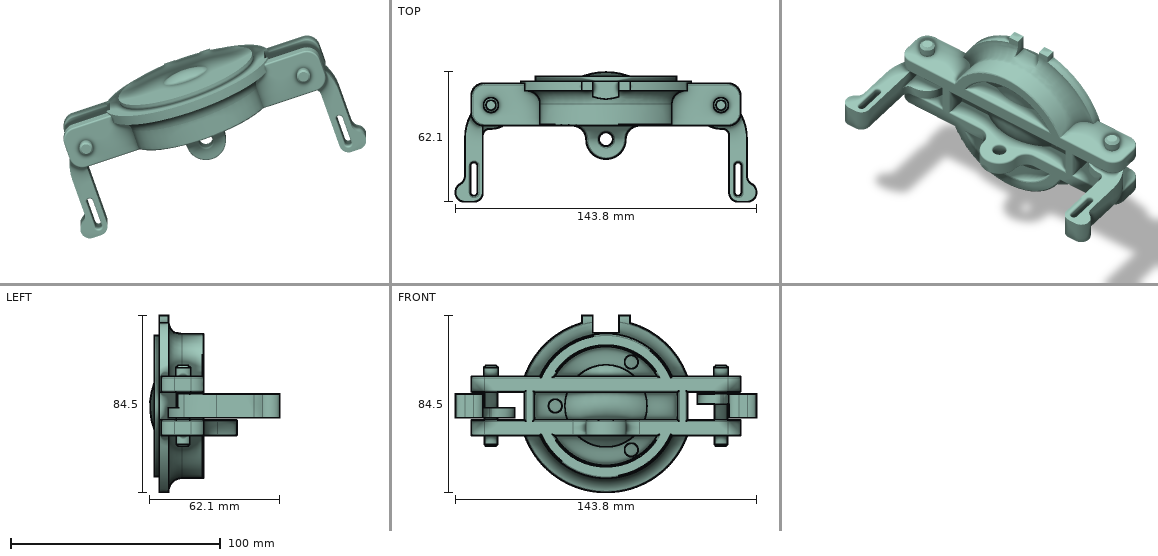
import cadquery as cq
import math


edge_radius = 0.76
pin_x = 54.86
pin_y = -11.43
pin_radius = 3.175
pin_head_radius = 3.555
running_hole_radius = 3.25

flange_radius = 41.275
flange_thickness = 4.57
barrel_radius = 34.545
housing_depth = 21.34
neck_radius = 6.1
bore_radius = 28.3
floor_y = -11.7
dome_edge_radius = 19.6
dome_height = 6.7

bar_half_length = 64.37
bar_inner_z = 6.6
bar_outer_z = 14.22
bar_thickness = bar_outer_z - bar_inner_z
bar_back_y = -0.89
bar_corner_radius = 6.35
wall_inner_x = 34.2
wall_outer_x = 38.9
lug_radius = 9.525
lug_blend_radius = 6.35

notch_half_width = 6.2
notch_floor_z = 34.925
tab_outer_x = 11.5
tab_top_z = 43.18

plate_radius = 33.72
plate_thickness = 2.4
plate_dome_edge_radius = 11.0
plate_dome_height = 2.06
peg_radius = 3.165
peg_circle_radius = 24.2
peg_angles = (60, 180, 300)

pin_top_z = 19.4
pin_bottom_z = -19.15
pin_tip_radius = 2.38

arm_outer_x = 67.31
arm_width = 8.64
arm_inner_x = arm_outer_x - arm_width
arm_half_height = 5.715
ear_thickness = 4.9
arm_end_y = -57.62
arm_end_radius = 4.57
shoulder_radius = 24.13
shoulder_start_y = -27.3
shoulder_angle = math.radians(40.2)
cam_radius = 11.43
cam_back_y = -4.3
armpit_radius = 2.9
slot_radius = 1.585
slot_length = 12.7


def cylinder_y(radius, front_y, back_y):
    """Cylinder on the disc axis."""
    return cq.Workplane("XZ", origin=(0, back_y, 0)).circle(radius).extrude(back_y - front_y)


def box(x_range, y_range, z_range):
    """Box from its limits along each axis."""
    size = [high - low for low, high in (x_range, y_range, z_range)]
    corner = (x_range[0], y_range[0], z_range[0])
    return cq.Workplane("XY", origin=corner).box(*size, centered=False)


def spherical_cap(edge, height, base_y, direction):
    """Cap on the disc axis, rising from base_y along +Y (direction 1) or -Y (direction -1)."""
    sphere_radius = (edge**2 + height**2) / (2 * height)
    apex_y = base_y + direction * height
    sphere = cq.Workplane("XY").sphere(sphere_radius)
    sphere = sphere.translate((0, apex_y - direction * sphere_radius, 0))
    low_y, high_y = sorted((base_y, apex_y))
    return sphere.intersect(cylinder_y(edge, low_y, high_y))


def round_flange_and_barrel():
    """Flange and barrel joined by a concave neck, with a rounded front rim around the open dish."""
    shelf_radius = barrel_radius + neck_radius
    neck_end_y = -flange_thickness - neck_radius
    neck_mid = (
        shelf_radius - neck_radius * math.sqrt(0.5),
        neck_end_y + neck_radius * math.sqrt(0.5),
    )
    front_y = -housing_depth
    rim_y = front_y + edge_radius
    rim_offset = edge_radius * (1 - math.sqrt(0.5))
    return (
        cq.Workplane("XY")
        .moveTo(0, 0)
        .lineTo(flange_radius, 0)
        .lineTo(flange_radius, -flange_thickness)
        .lineTo(shelf_radius, -flange_thickness)
        .threePointArc(neck_mid, (barrel_radius, neck_end_y))
        .lineTo(barrel_radius, rim_y)
        .threePointArc(
            (barrel_radius - rim_offset, front_y + rim_offset),
            (barrel_radius - edge_radius, front_y),
        )
        .lineTo(bore_radius + edge_radius, front_y)
        .threePointArc((bore_radius + rim_offset, front_y + rim_offset), (bore_radius, rim_y))
        .lineTo(bore_radius, floor_y)
        .lineTo(0, floor_y)
        .close()
        .revolve(360, (0, 0), (0, 1))
    )


def plain_bar(bottom_z):
    """Bar with round corners in plan and sharp edges."""
    depth = housing_depth + bar_back_y
    return (
        cq.Workplane("XY", origin=(0, bar_back_y - depth / 2, bottom_z))
        .rect(2 * bar_half_length, depth)
        .extrude(bar_thickness)
        .edges("|Z")
        .fillet(bar_corner_radius)
    )


def lug(bottom_z):
    """Lug in front of a bar, blended into it by two concave arcs, before its hole is made."""
    front_y = -housing_depth
    centre_y = front_y - lug_blend_radius
    blend_x = lug_radius + lug_blend_radius
    blend_offset = lug_blend_radius * math.sqrt(0.5)
    root_y = front_y + bar_corner_radius
    return (
        cq.Workplane("XY", origin=(0, 0, bottom_z))
        .moveTo(-blend_x, root_y)
        .lineTo(-blend_x, front_y)
        .threePointArc((-blend_x + blend_offset, centre_y + blend_offset), (-lug_radius, centre_y))
        .threePointArc((0, centre_y - lug_radius), (lug_radius, centre_y))
        .threePointArc((blend_x - blend_offset, centre_y + blend_offset), (blend_x, front_y))
        .lineTo(blend_x, root_y)
        .close()
        .extrude(bar_thickness)
    )


def end_wall(side):
    """Wall joining the bars beside the barrel."""
    x_range = sorted((side * wall_inner_x, side * wall_outer_x))
    return box(x_range, (-housing_depth, bar_back_y), (-bar_inner_z, bar_inner_z))


def is_rounded(edge):
    """True for the rims of the bars and the lug hole, and for the front edges of the walls."""
    extent = edge.BoundingBox()
    centre = edge.Center()
    runs_along_z = extent.zlen > edge_radius
    if runs_along_z:
        spans_the_gap = extent.zlen > bar_thickness + edge_radius
        is_at_front = abs(centre.y + housing_depth) < edge_radius
        return spans_the_gap and is_at_front
    meets_wall = abs(centre.x) < wall_outer_x + edge_radius
    runs_along_y = extent.xlen < edge_radius
    return not (meets_wall and runs_along_y)


def make_frame():
    """Twin bars, end walls and drilled lug as one frame with rounded edges."""
    frame = plain_bar(bar_inner_z).union(plain_bar(-bar_outer_z)).union(lug(-bar_outer_z))
    for side in (-1, 1):
        frame = frame.union(end_wall(side))
    lug_hole = (
        cq.Workplane("XY", origin=(0, -housing_depth - lug_blend_radius, -bar_outer_z))
        .circle(running_hole_radius)
        .extrude(bar_thickness)
    )
    frame = frame.cut(lug_hole)
    rounded_edges = [edge for edge in frame.edges().vals() if is_rounded(edge)]
    return frame.newObject(rounded_edges).fillet(edge_radius)


def pin_holes():
    """Holes for both pins: the pin head fits the upper bar and the shank fits the lower bar."""
    centres = [(-pin_x, pin_y), (pin_x, pin_y)]
    upper = cq.Workplane("XY", origin=(0, 0, bar_inner_z)).pushPoints(centres)
    lower = cq.Workplane("XY", origin=(0, 0, -bar_outer_z)).pushPoints(centres)
    return upper.circle(pin_head_radius).extrude(bar_thickness).union(
        lower.circle(pin_radius).extrude(bar_thickness)
    )


def pegs(radius):
    """Pegs of the back plate, reaching from its front face to the floor of the dish."""
    return (
        cq.Workplane("XZ")
        .pushPoints(
            [
                (
                    peg_circle_radius * math.cos(math.radians(angle)),
                    peg_circle_radius * math.sin(math.radians(angle)),
                )
                for angle in peg_angles
            ]
        )
        .circle(radius)
        .extrude(-floor_y)
    )


def make_housing():
    body = round_flange_and_barrel()
    body = body.union(
        box((-tab_outer_x, tab_outer_x), (-flange_thickness, 0), (notch_floor_z, tab_top_z))
    )
    body = body.cut(
        box((-notch_half_width, notch_half_width), (-housing_depth, 0), (notch_floor_z, tab_top_z))
    )
    pocket_z = bar_inner_z + edge_radius
    body = body.cut(
        box((-wall_outer_x, wall_outer_x), (-housing_depth, floor_y), (-pocket_z, pocket_z))
    )
    for x_range in ((-bar_half_length, -wall_outer_x), (wall_outer_x, bar_half_length)):
        body = body.cut(box(x_range, (-housing_depth, 0), (-bar_inner_z, bar_inner_z)))
    body = body.union(make_frame())
    body = body.union(spherical_cap(dome_edge_radius, dome_height, floor_y, -1))
    return body.cut(pin_holes()).cut(pegs(running_hole_radius))


def make_back_plate():
    plate = cylinder_y(plate_radius, 0, plate_thickness)
    dome = spherical_cap(plate_dome_edge_radius, plate_dome_height, plate_thickness, 1)
    return plate.union(dome).union(pegs(peg_radius))


def make_pin(side):
    """Pin with a thicker head in the upper bar and a chamfer at each end."""
    head_bevel = pin_head_radius - pin_tip_radius
    tip_bevel = pin_radius - pin_tip_radius
    return (
        cq.Workplane("XZ")
        .moveTo(0, pin_bottom_z)
        .lineTo(pin_tip_radius, pin_bottom_z)
        .lineTo(pin_radius, pin_bottom_z + tip_bevel)
        .lineTo(pin_radius, bar_inner_z)
        .lineTo(pin_head_radius, bar_inner_z)
        .lineTo(pin_head_radius, pin_top_z - head_bevel)
        .lineTo(pin_tip_radius, pin_top_z)
        .lineTo(0, pin_top_z)
        .close()
        .revolve(360, (0, 0), (0, 1))
        .translate((side * pin_x, pin_y, 0))
    )


def arm_outline():
    """Plan of the left arm: shoulder, cam around the pin, straight shank and hooked end."""
    shoulder_centre_x = -arm_outer_x + shoulder_radius

    def shoulder_point(angle):
        return (
            shoulder_centre_x - shoulder_radius * math.cos(angle),
            shoulder_start_y + shoulder_radius * math.sin(angle),
        )

    cam_back_x = -pin_x + math.sqrt(cam_radius**2 - (cam_back_y - pin_y) ** 2)
    cam_front_y = pin_y - cam_radius
    end_y = arm_end_y + arm_end_radius
    concave_start_y = end_y + arm_end_radius * math.sqrt(3)
    return (
        cq.Workplane("XY", origin=(0, 0, -arm_half_height))
        .moveTo(-arm_outer_x, concave_start_y)
        .lineTo(-arm_outer_x, shoulder_start_y)
        .threePointArc(shoulder_point(shoulder_angle / 2), shoulder_point(shoulder_angle))
        .tangentArcPoint((cam_back_x, cam_back_y), relative=False)
        .threePointArc((-pin_x + cam_radius, pin_y), (-pin_x, cam_front_y))
        .lineTo(-arm_inner_x + armpit_radius, cam_front_y)
        .threePointArc(
            (
                -arm_inner_x + armpit_radius * (1 - math.sqrt(0.5)),
                cam_front_y - armpit_radius * (1 - math.sqrt(0.5)),
            ),
            (-arm_inner_x, cam_front_y - armpit_radius),
        )
        .lineTo(-arm_inner_x, end_y)
        .tangentArcPoint((-arm_inner_x - arm_end_radius, arm_end_y), relative=False)
        .lineTo(-arm_outer_x, arm_end_y)
        .threePointArc(
            (-arm_outer_x - arm_end_radius, end_y),
            (-arm_outer_x - arm_end_radius / 2, end_y + arm_end_radius * math.sqrt(3) / 2),
        )
        .threePointArc(
            (
                -arm_outer_x - arm_end_radius * (1 - math.sqrt(3) / 2),
                concave_start_y - arm_end_radius / 2,
            ),
            (-arm_outer_x, concave_start_y),
        )
        .close()
    )


def make_left_arm():
    height = 2 * arm_half_height
    arm = arm_outline().extrude(height)
    ear_top_z = -arm_half_height + ear_thickness
    arm = arm.cut(
        box((-arm_inner_x, 0), (arm_end_y, 0), (ear_top_z, arm_half_height))
    )
    pin_hole = cq.Workplane("XY", origin=(-pin_x, pin_y, -arm_half_height))
    arm = arm.cut(pin_hole.circle(running_hole_radius).extrude(ear_thickness))
    slot_y = arm_end_y + arm_end_radius + slot_length / 2
    slot = (
        cq.Workplane("XY", origin=(-(arm_outer_x + arm_inner_x) / 2, slot_y, -arm_half_height))
        .slot2D(slot_length + 2 * slot_radius, 2 * slot_radius, 90)
        .extrude(height)
    )
    arm = arm.cut(slot)
    mouth = cq.selectors.BoxSelector(
        (-arm_outer_x + edge_radius, arm_end_y + edge_radius, -height),
        (-arm_inner_x - edge_radius, slot_y + slot_length, height),
    )
    return arm.edges(mouth).edges("#Z").fillet(edge_radius)


housing = make_housing()
back_plate = make_back_plate()
pins = [make_pin(side) for side in (-1, 1)]
left_arm = make_left_arm()
right_arm = left_arm.rotate((0, 0, 0), (0, 1, 0), 180)

result = cq.Compound.makeCompound(
    [housing.val(), back_plate.val(), *[pin.val() for pin in pins], left_arm.val(), right_arm.val()]
)